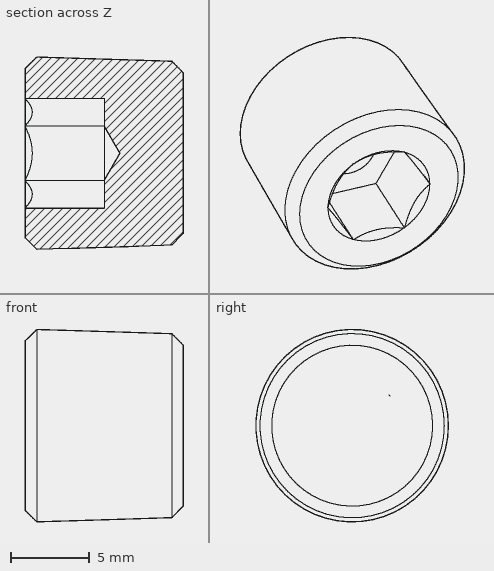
import cadquery as cq
import math

LENGTH = 10.0
LARGE_DIAMETER = 12.19
TAPER_RATIO = 1 / 16
LARGE_FACE_DIAMETER = 10.75
LARGE_CHAMFER_LENGTH = 0.735
SMALL_FACE_DIAMETER = 10.18
SMALL_CHAMFER_LENGTH = 0.72

HEX_ACROSS_FLATS = 6.0
SOCKET_DEPTH = 5.0
COUNTERSINK_DIAMETER = 6.9
COUNTERSINK_ANGLE = 90.0

DRILL_POINT_DIAMETER = 3.4
DRILL_POINT_ANGLE = 120.0

HEX_ACROSS_CORNERS = HEX_ACROSS_FLATS / math.cos(math.pi / 6)
LARGE_RADIUS = LARGE_DIAMETER / 2
TAPER_LENGTH = LENGTH - LARGE_CHAMFER_LENGTH - SMALL_CHAMFER_LENGTH
SMALL_RADIUS = LARGE_RADIUS - TAPER_LENGTH * TAPER_RATIO / 2


def make_body():
    """Tapered plug with a chamfer at each end, revolved about the X axis."""
    profile = [
        (0, 0),
        (0, LARGE_FACE_DIAMETER / 2),
        (LARGE_CHAMFER_LENGTH, LARGE_RADIUS),
        (LENGTH - SMALL_CHAMFER_LENGTH, SMALL_RADIUS),
        (LENGTH, SMALL_FACE_DIAMETER / 2),
        (LENGTH, 0),
    ]
    return cq.Workplane("XY").polyline(profile).close().revolve(360, (0, 0, 0), (1, 0, 0))


def make_hex_socket():
    """Hexagonal prism with two corners on the Y axis."""
    return cq.Workplane("YZ").polygon(6, HEX_ACROSS_CORNERS).extrude(SOCKET_DEPTH)


def make_cone(base_x, diameter, included_angle):
    """Cone with its base at base_x and its tip pointing toward +X."""
    radius = diameter / 2
    height = radius / math.tan(math.radians(included_angle / 2))
    profile = [(base_x, 0), (base_x, radius), (base_x + height, 0)]
    return cq.Workplane("XY").polyline(profile).close().revolve(360, (0, 0, 0), (1, 0, 0))


countersink = make_cone(0, COUNTERSINK_DIAMETER, COUNTERSINK_ANGLE)
drill_point = make_cone(SOCKET_DEPTH, DRILL_POINT_DIAMETER, DRILL_POINT_ANGLE)

result = make_body().cut(make_hex_socket()).cut(countersink).cut(drill_point)